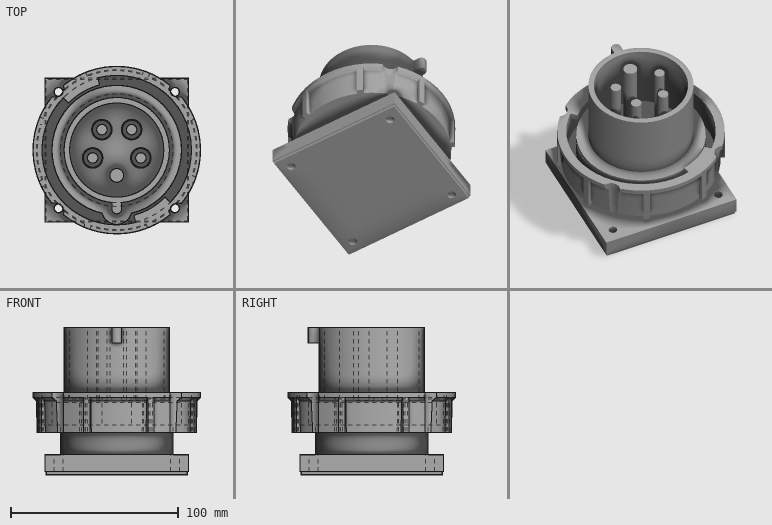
import cadquery as cq
import math

GASKET_SIDE = 84.4
GASKET_THICK = 2.0
FLANGE_SIDE = 85.8
FLANGE_TOP = 12.1
MOUNT_HOLE_RADIUS = 2.6
MOUNT_HOLE_OFFSET = 34.7

TOTAL_HEIGHT = 88.1
NECK_RADIUS = 33.6
COLLAR_RADIUS = 38.6
COLLAR_TOP = 46.3
COLLAR_STEP_HEIGHT = 43.3
COLLAR_BASE_RADIUS = 38.7
COLLAR_KEY_RADIUS = 9.1
COLLAR_KEY_REACH = 44.3
SHROUD_RADIUS = 31.4
SHROUD_BORE_RADIUS = 28.1
SHROUD_KEY_RADIUS = 2.9
SHROUD_KEY_REACH = 38.0
SHROUD_KEY_HEIGHT = 9.4

PIN_COUNT = 5
PIN_CIRCLE_RADIUS = 15.1
PHASE_PIN_RADIUS = 3.1
EARTH_PIN_RADIUS = 4.1
EARTH_PIN_ANGLE = -90.0
RECESS_TOP_RADIUS = 6.1
RECESS_FLOOR_RADIUS = 5.6
RECESS_DEPTH = 2.0

RING_BOTTOM = 25.2
RING_FLOOR_TOP = 29.9
RING_TOP = 49.2
RIM_RADIUS = 50.0
RIM_THICK = 3.0
RIM_CHAMFER = 2.0
WALL_BOTTOM_RADIUS = 47.5
WALL_BORE_RADIUS = 44.6
RIB_COUNT = 8
RIB_WIDTH = 3.9
RIB_START_ANGLE = 24.0
SCALLOP_RADIUS = 5.4
SCALLOP_CENTRE_RADIUS = 52.3
SCALLOP_ANGLES = (45, 135, 225, 315)
LUG_INNER_RADIUS = 40.2
LUG_THICK = 4.0
LUG_START_ANGLE = 104.7
LUG_SWEEP_ANGLE = 31.0


def cylinder(radius, bottom, top):
    return cq.Workplane("XY").workplane(offset=bottom).circle(radius).extrude(top - bottom)


def polar_point(radius, angle):
    return (radius * math.cos(math.radians(angle)), radius * math.sin(math.radians(angle)))


def square_plate(side, bottom, top):
    """A square plate with one mounting hole through each corner."""
    plate = cq.Workplane("XY").workplane(offset=bottom).rect(side, side).extrude(top - bottom)
    pitch = 2 * MOUNT_HOLE_OFFSET
    return plate.faces(">Z").workplane().rect(pitch, pitch, forConstruction=True).vertices().hole(
        2 * MOUNT_HOLE_RADIUS
    )


def make_gasket():
    return square_plate(GASKET_SIDE, 0, GASKET_THICK)


def make_collar():
    """The collar above the neck, slightly wider at its base, with a rounded key towards -Y."""
    collar = cylinder(COLLAR_RADIUS, RING_FLOOR_TOP, COLLAR_TOP)
    base = cylinder(COLLAR_BASE_RADIUS, RING_FLOOR_TOP, COLLAR_STEP_HEIGHT)
    key_centre = (0, COLLAR_KEY_RADIUS - COLLAR_KEY_REACH)
    key = cylinder(COLLAR_KEY_RADIUS, RING_FLOOR_TOP, COLLAR_TOP).translate(key_centre)
    return collar.union(base).union(key)


def make_shroud():
    """The open tube around the pins, with a round-ended key outside its mouth."""
    key_bottom = TOTAL_HEIGHT - SHROUD_KEY_HEIGHT
    key_end = SHROUD_KEY_REACH - SHROUD_KEY_RADIUS
    key_bar = cq.Workplane("XY").box(
        2 * SHROUD_KEY_RADIUS, key_end, SHROUD_KEY_HEIGHT, centered=(True, False, False)
    ).translate((0, -key_end, key_bottom))
    key_round = cylinder(SHROUD_KEY_RADIUS, key_bottom, TOTAL_HEIGHT).translate((0, -key_end))
    tube = cylinder(SHROUD_RADIUS, COLLAR_TOP, TOTAL_HEIGHT).union(key_bar).union(key_round)
    return tube.cut(cylinder(SHROUD_BORE_RADIUS, COLLAR_TOP, TOTAL_HEIGHT))


def make_pin_recess():
    """The tapered recess around a phase pin."""
    recess = cq.Workplane("XY").workplane(offset=COLLAR_TOP).circle(RECESS_TOP_RADIUS)
    return recess.workplane(offset=-RECESS_DEPTH).circle(RECESS_FLOOR_RADIUS).loft()


def make_housing():
    housing = square_plate(FLANGE_SIDE, GASKET_THICK, FLANGE_TOP)
    housing = housing.union(cylinder(NECK_RADIUS, FLANGE_TOP, RING_FLOOR_TOP))
    housing = housing.union(make_collar()).union(make_shroud())

    earth_pin = cylinder(EARTH_PIN_RADIUS, COLLAR_TOP, TOTAL_HEIGHT)
    housing = housing.union(earth_pin.translate(polar_point(PIN_CIRCLE_RADIUS, EARTH_PIN_ANGLE)))

    phase_pin = cylinder(PHASE_PIN_RADIUS, COLLAR_TOP - RECESS_DEPTH, TOTAL_HEIGHT)
    for index in range(1, PIN_COUNT):
        place = polar_point(PIN_CIRCLE_RADIUS, EARTH_PIN_ANGLE + index * 360 / PIN_COUNT)
        housing = housing.cut(make_pin_recess().translate(place)).union(phase_pin.translate(place))
    return housing


def turned(shape, angle):
    return shape.rotate((0, 0, 0), (0, 0, 1), angle)


def make_lug():
    """One bayonet lug, starting at angle 0 and reaching into the wall of the ring."""
    section = cq.Workplane("XZ").moveTo(LUG_INNER_RADIUS, RING_TOP - LUG_THICK)
    section = section.lineTo(RIM_RADIUS, RING_TOP - LUG_THICK).lineTo(RIM_RADIUS, RING_TOP)
    section = section.lineTo(LUG_INNER_RADIUS, RING_TOP).close()
    return section.revolve(LUG_SWEEP_ANGLE, (0, 0, 0), (0, 1, 0))


def make_bore():
    """The space inside the ring above its floor, leaving out the bayonet lugs."""
    bore = cylinder(WALL_BORE_RADIUS, RING_FLOOR_TOP, RING_TOP)
    for angle in (LUG_START_ANGLE, LUG_START_ANGLE + 180):
        bore = bore.cut(turned(make_lug(), angle))
    return bore


def make_grip_pockets():
    """The space around the ring wall below the rim, leaving out the grip ribs."""
    rim_bottom = RING_TOP - RIM_THICK
    clear_radius = RIM_RADIUS + RIM_CHAMFER
    profile = [
        (WALL_BOTTOM_RADIUS, RING_BOTTOM),
        (RIM_RADIUS - RIM_CHAMFER, rim_bottom - RIM_CHAMFER),
        (clear_radius, rim_bottom + RIM_CHAMFER),
        (clear_radius, RING_BOTTOM),
    ]
    pockets = cq.Workplane("XZ").polyline(profile).close().revolve(360, (0, 0, 0), (0, 1, 0))
    rib = cq.Workplane("XY").box(
        2 * clear_radius, RIB_WIDTH, RING_TOP - RING_BOTTOM, centered=(False, True, False)
    ).translate((0, 0, RING_BOTTOM))
    for index in range(RIB_COUNT):
        pockets = pockets.cut(turned(rib, RIB_START_ANGLE + index * 360 / RIB_COUNT))
    return pockets


def make_ring():
    ring = cylinder(RIM_RADIUS, RING_BOTTOM, RING_TOP).cut(make_grip_pockets())
    for angle in SCALLOP_ANGLES:
        place = polar_point(SCALLOP_CENTRE_RADIUS, angle)
        ring = ring.cut(cylinder(SCALLOP_RADIUS, RING_BOTTOM, RING_TOP).translate(place))
    return ring.cut(cylinder(NECK_RADIUS, RING_BOTTOM, RING_FLOOR_TOP)).cut(make_bore())


gasket = make_gasket()
housing = make_housing()
ring = make_ring()

result = cq.Compound.makeCompound([gasket.val(), housing.val(), ring.val()])